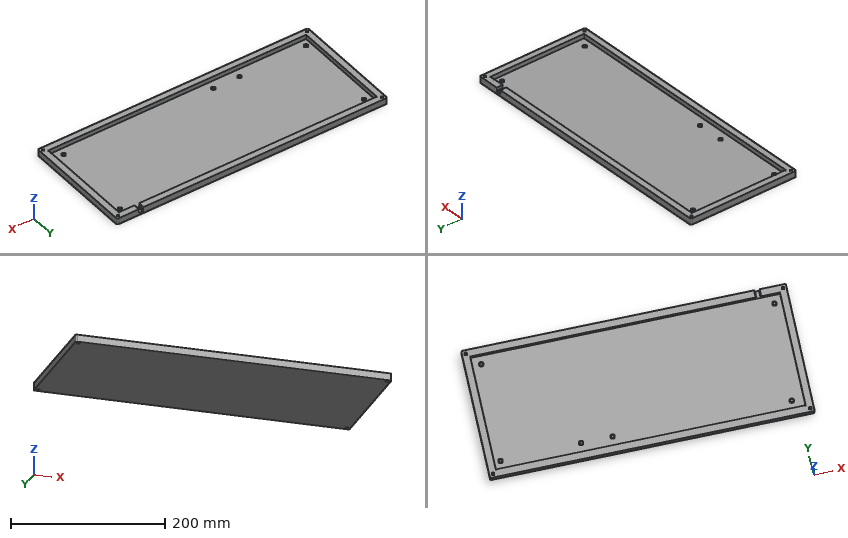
import cadquery as cq

length = 430.5
width = 177.0
height = 10.0
wall = 10.0
floor = 3.0
corner_radius = 2.0

rim_hole_diameter = 3.4
rim_hole_x = length / 2 - wall / 2
rim_hole_y = width / 2 - wall / 2

base_diameter = 6.0
base_height = 1.0
pin_diameter = 4.5
pin_height = 1.0
standoffs = [
    (-193.5, 67.0),
    (195.5, 67.0),
    (-197.0, -66.8),
    (189.5, -66.8),
    (-89.5, -65.0),
    (-48.0, -65.0),
]

notch_x = 177.0
notch_top_width = 7.5
notch_bottom_width = 5.0
notch_shoulder_z = 5.0
notch_floor_z = 3.5


def make_tray():
    body = cq.Workplane("XY").box(length, width, height, centered=(True, True, False))
    body = body.edges("|Z").fillet(corner_radius)
    pocket = (
        cq.Workplane("XY")
        .workplane(offset=floor)
        .rect(length - 2 * wall, width - 2 * wall)
        .extrude(height - floor)
    )
    return body.cut(pocket)


def make_standoffs():
    return (
        cq.Workplane("XY")
        .workplane(offset=floor)
        .pushPoints(standoffs)
        .circle(base_diameter / 2)
        .extrude(base_height)
        .faces(">Z")
        .workplane(origin=(0, 0, 0))
        .pushPoints(standoffs)
        .circle(pin_diameter / 2)
        .extrude(pin_height)
    )


def make_rim_holes():
    return (
        cq.Workplane("XY")
        .rect(2 * rim_hole_x, 2 * rim_hole_y, forConstruction=True)
        .vertices()
        .circle(rim_hole_diameter / 2)
        .extrude(height)
    )


def make_cable_notch():
    top_half = notch_top_width / 2
    bottom_half = notch_bottom_width / 2
    outline = [
        (-top_half, height),
        (-top_half, notch_shoulder_z),
        (-bottom_half, notch_floor_z),
        (bottom_half, notch_floor_z),
        (top_half, notch_shoulder_z),
        (top_half, height),
    ]
    return (
        cq.Workplane("XZ", origin=(notch_x, width / 2, 0))
        .polyline(outline)
        .close()
        .extrude(wall)
    )


result = (
    make_tray()
    .union(make_standoffs())
    .cut(make_rim_holes())
    .cut(make_cable_notch())
)